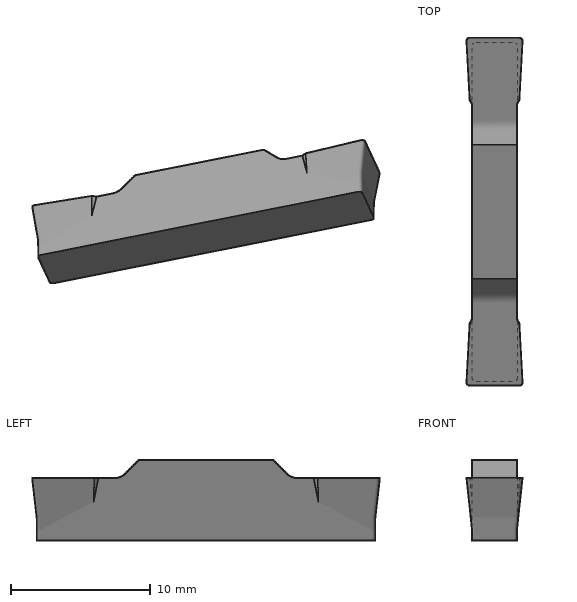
import cadquery as cq
import math

length = 24.97
height = 5.8
seat_height = 4.5
body_half_width = 1.62

end_inset = 0.32
lean_bottom = 1.65
ridge_half_length = 4.82
ramp_angle = 45.0
ramp_radius = 1.0

edge_width = 4.07
edge_half_width = edge_width / 2
back_taper = 3.1
side_taper = 5.8
flare_length = 4.47
step_run = 0.3
flare_tip_inset = 4.42
corner_radius = 0.25
pick_margin = 0.02


def make_profile():
    """Side outline extruded over the full width of the cutting edge."""
    half_length = length / 2
    foot = half_length - end_inset
    ramp_foot = ridge_half_length + (height - seat_height) / math.tan(math.radians(ramp_angle))
    right_side = [
        (foot, 0),
        (foot, lean_bottom),
        (half_length, seat_height),
        (ramp_foot, seat_height),
        (ridge_half_length, height),
    ]
    left_side = [(-y, z) for y, z in reversed(right_side)]
    profile = cq.Workplane("YZ").polyline(right_side + left_side).close()
    profile = profile.extrude(edge_half_width, both=True)
    ramp_feet = cq.selectors.BoxSelector(
        (-edge_half_width, -ramp_foot - pick_margin, seat_height - pick_margin),
        (edge_half_width, ramp_foot + pick_margin, seat_height + pick_margin),
    )
    return profile.edges("|X").edges(ramp_feet).fillet(ramp_radius)


def make_flare():
    """Tapered wedge on the +X side of the -Y end."""
    back_slope = math.tan(math.radians(back_taper))
    side_slope = math.tan(math.radians(side_taper))
    flare_width = edge_half_width - body_half_width
    tip_drop = (flare_width - flare_tip_inset * back_slope) / side_slope

    def point(x, inset, drop):
        return cq.Vector(x, inset - length / 2, seat_height - drop)

    edge_inner = point(body_half_width, 0, 0)
    edge_outer = point(edge_half_width, 0, 0)
    edge_bottom = point(body_half_width, 0, flare_width / side_slope)
    back_outer = point(edge_half_width - flare_length * back_slope, flare_length, 0)
    back_inner = point(body_half_width, flare_length + step_run, 0)
    tip = point(body_half_width, flare_tip_inset, tip_drop)

    outlines = [
        [edge_inner, edge_bottom, tip, back_inner],
        [edge_inner, edge_outer, edge_bottom],
        [edge_inner, edge_outer, back_outer, back_inner],
        [edge_outer, edge_bottom, tip, back_outer],
        [back_outer, tip, back_inner],
    ]
    faces = [cq.Face.makeFromWires(cq.Wire.makePolygon(outline, close=True)) for outline in outlines]
    return cq.Workplane(cq.Solid.makeSolid(cq.Shell.makeShell(faces)))


flare = make_flare()
blank = cq.Workplane("XY").box(2 * body_half_width, length, height, centered=(True, True, False))
for wedge in (flare, flare.mirror("YZ")):
    blank = blank.union(wedge).union(wedge.mirror("XZ"))
part = blank.intersect(make_profile())

corner_near = (body_half_width - pick_margin, length / 2 - end_inset - pick_margin)
corner_far = (edge_half_width + pick_margin, length / 2 + pick_margin)
for end in (-1, 1):
    for side in (-1, 1):
        corner = cq.selectors.BoxSelector(
            (side * corner_near[0], end * corner_near[1], pick_margin),
            (side * corner_far[0], end * corner_far[1], seat_height - pick_margin),
        )
        part = part.edges(corner).fillet(corner_radius)

result = part